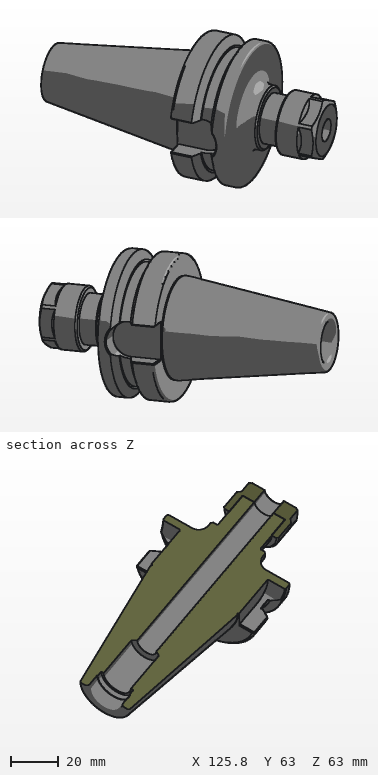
import cadquery as cq
import math

LENGTH = 125.8

GAUGE_X = 65.4
GAUGE_DIA = 44.4
TAPER_RATIO = 7 / 24
TAPER_END_DIA = GAUGE_DIA - TAPER_RATIO * GAUGE_X
TAPER_END_FILLET = 1.0
COLLAR_END = 66.7
COLLAR_RELIEF_DIA = 44.2

FLANGE_DIA = 63.0
FLANGE_START = 67.2
FLANGE_END = 92.3
FLANGE_FILLET = 1.0
GROOVE_DIA = 53.0
GROOVE_LIP_DIA = 54.8
GROOVE_START = 79.4
GROOVE_END = 84.3
GROOVE_WALL_ANGLE = 60.0
GROOVE_WALL_RUN = (FLANGE_DIA - GROOVE_LIP_DIA) / 2 / math.tan(math.radians(GROOVE_WALL_ANGLE))

SLOT_WIDTH = 16.0
SLOT_FLOOR = 22.5
SLOT_END = 88.6
SLOT_CHAMFER = 0.5

NOSE_DIA = 28.0
NOSE_END = 99.8
NOSE_FILLET = 5.0
NOSE_CHAMFER = 0.8
NECK_DIA = 22.0

BORE_MOUTH_FILLET = 1.8
PILOT_DIA = 17.0
PILOT_DEPTH = 7.0
COUNTERBORE_DIA = 16.4
COUNTERBORE_DEPTH = 9.5
THREAD_DIA = 13.8
THREAD_DEPTH = 30.2
THROUGH_DIA = 9.7
DRILL_POINT_ANGLE = 118.0
DRILL_POINT_LENGTH = (THREAD_DIA - THROUGH_DIA) / 2 / math.tan(math.radians(DRILL_POINT_ANGLE / 2))

NUT_START = 108.0
NUT_DIA = NOSE_DIA
NUT_CHAMFER = 0.8
HEX_START = 118.3
HEX_ACROSS_FLATS = 25.0
NUT_END_DIA = 22.4
NUT_END_CHAMFER = 1.5
NECK_END = HEX_START


def revolve_x(profile):
    """Turn a closed (x, radius) outline around the X axis."""
    return profile.close().revolve(360, (0, 0, 0), (1, 0, 0))


def bore(diameter, start, end):
    """Cylinder along the axis from one X position to another."""
    return cq.Workplane("YZ").workplane(offset=start).circle(diameter / 2).extrude(end - start)


def turned_holder():
    flange_r = FLANGE_DIA / 2
    lip_r = GROOVE_LIP_DIA / 2
    groove_r = GROOVE_DIA / 2
    nose_r = NOSE_DIA / 2
    neck_r = NECK_DIA / 2
    return revolve_x(
        cq.Workplane("XY")
        .moveTo(0, 0)
        .lineTo(0, TAPER_END_DIA / 2)
        .lineTo(GAUGE_X, GAUGE_DIA / 2)
        .lineTo(COLLAR_END, GAUGE_DIA / 2)
        .lineTo(COLLAR_END, COLLAR_RELIEF_DIA / 2)
        .lineTo(FLANGE_START, COLLAR_RELIEF_DIA / 2)
        .lineTo(FLANGE_START, flange_r - FLANGE_FILLET)
        .radiusArc((FLANGE_START + FLANGE_FILLET, flange_r), FLANGE_FILLET)
        .lineTo(GROOVE_START - GROOVE_WALL_RUN, flange_r)
        .lineTo(GROOVE_START, lip_r)
        .lineTo(GROOVE_START, groove_r)
        .lineTo(GROOVE_END, groove_r)
        .lineTo(GROOVE_END, lip_r)
        .lineTo(GROOVE_END + GROOVE_WALL_RUN, flange_r)
        .lineTo(FLANGE_END - FLANGE_FILLET, flange_r)
        .radiusArc((FLANGE_END, flange_r - FLANGE_FILLET), FLANGE_FILLET)
        .lineTo(FLANGE_END, nose_r + NOSE_FILLET)
        .radiusArc((FLANGE_END + NOSE_FILLET, nose_r), -NOSE_FILLET)
        .lineTo(NOSE_END - NOSE_CHAMFER, nose_r)
        .lineTo(NOSE_END, nose_r - NOSE_CHAMFER)
        .lineTo(NOSE_END, neck_r)
        .lineTo(NECK_END, neck_r)
        .lineTo(NECK_END, 0)
    ).faces("<X").edges().fillet(TAPER_END_FILLET)


def holder_bore():
    thread_r = THREAD_DIA / 2
    through_r = THROUGH_DIA / 2
    return revolve_x(
        cq.Workplane("XY")
        .moveTo(0, 0)
        .lineTo(0, PILOT_DIA / 2 + BORE_MOUTH_FILLET)
        .radiusArc((BORE_MOUTH_FILLET, PILOT_DIA / 2), -BORE_MOUTH_FILLET)
        .lineTo(PILOT_DEPTH, PILOT_DIA / 2)
        .lineTo(PILOT_DEPTH, COUNTERBORE_DIA / 2)
        .lineTo(COUNTERBORE_DEPTH, COUNTERBORE_DIA / 2)
        .lineTo(COUNTERBORE_DEPTH, thread_r)
        .lineTo(THREAD_DEPTH, thread_r)
        .lineTo(THREAD_DEPTH + DRILL_POINT_LENGTH, through_r)
        .lineTo(NECK_END, through_r)
        .lineTo(NECK_END, 0)
    )


def drive_slot(side):
    """Round-ended slot in the flange on the +Y (side = 1) or -Y (side = -1) side."""
    half_width = SLOT_WIDTH / 2
    arc_x = SLOT_END - half_width
    return (
        cq.Workplane("XZ", origin=(0, side * SLOT_FLOOR, 0))
        .moveTo(GAUGE_X, -half_width)
        .lineTo(arc_x, -half_width)
        .threePointArc((SLOT_END, 0), (arc_x, half_width))
        .lineTo(GAUGE_X, half_width)
        .close()
        .extrude(-side * FLANGE_DIA / 2)
    )


def is_slot_rim(edge):
    """True for slot edges on the flange's front face, its front fillet or its outer surface."""
    middle = edge.positionAt(0.5)
    tolerance = 0.01
    within_slot = abs(middle.z) < SLOT_WIDTH / 2 + tolerance
    beyond_floor = abs(middle.y) > SLOT_FLOOR + tolerance
    front_rim = middle.x < FLANGE_START + FLANGE_FILLET
    outer_rim = math.hypot(middle.y, middle.z) > FLANGE_DIA / 2 - tolerance
    return within_slot and beyond_floor and (front_rim or outer_rim)


def make_holder():
    holder = turned_holder().cut(holder_bore())
    for side in (-1, 1):
        holder = holder.cut(drive_slot(side))
    return holder.edges().filter(is_slot_rim).chamfer(SLOT_CHAMFER)


def turned_nut():
    nut_r = NUT_DIA / 2
    return revolve_x(
        cq.Workplane("XY")
        .moveTo(NUT_START, 0)
        .lineTo(NUT_START, nut_r - NUT_CHAMFER)
        .lineTo(NUT_START + NUT_CHAMFER, nut_r)
        .lineTo(LENGTH - NUT_END_CHAMFER, nut_r)
        .lineTo(LENGTH, NUT_END_DIA / 2)
        .lineTo(LENGTH, 0)
    )


def hex_envelope():
    """Hexagonal prism joined to a 45 degree cone that runs the flats out behind the hexagon."""
    nut_r = NUT_DIA / 2
    prism = (
        cq.Workplane("YZ")
        .workplane(offset=HEX_START)
        .polygon(6, HEX_ACROSS_FLATS, circumscribed=True)
        .extrude(LENGTH - HEX_START)
    )
    runout = revolve_x(
        cq.Workplane("XY")
        .moveTo(NUT_START, 0)
        .lineTo(NUT_START, nut_r)
        .lineTo(HEX_START, nut_r)
        .lineTo(HEX_START + nut_r, 0)
    )
    return prism.union(runout)


def make_nut():
    nut = turned_nut().intersect(hex_envelope())
    nut = nut.cut(bore(NECK_DIA, NUT_START, NECK_END))
    return nut.cut(bore(THROUGH_DIA, NECK_END, LENGTH))


holder = make_holder()
nut = make_nut()
result = cq.Compound.makeCompound([holder.val(), nut.val()])